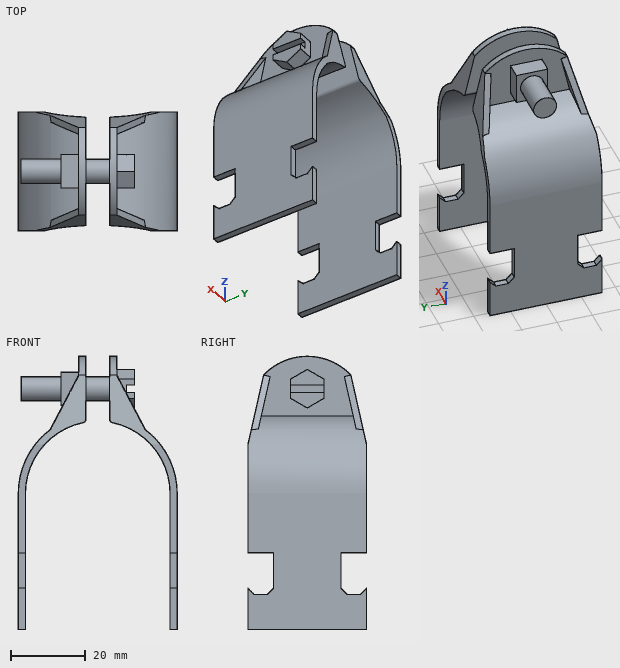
import cadquery as cq
import math


overall_height = 73.0
overall_width = 42.5
strap_width = 31.8
sheet = 2.0
ear_gap = 6.3
leg_height = 36.4
inner_bend_radius = 1.0

half_width = strap_width / 2
outer_radius = overall_width / 2
inner_radius = outer_radius - sheet
ear_inner_x = ear_gap / 2
ear_outer_x = ear_inner_x + sheet
ear_root_z = leg_height + math.sqrt(outer_radius**2 - ear_outer_x**2)
ear_inner_root_z = leg_height + math.sqrt(inner_radius**2 - ear_inner_x**2)

shoulder_z = 49.35
crown_z = 68.0
crown_half_width = 11.7
taper_angle = math.atan2(half_width - crown_half_width, crown_z - shoulder_z)

notch_top_z = 20.5
notch_bottom_z = 9.4
notch_depth = 6.9
notch_chamfer = 1.7

gusset_thickness = 1.8
gusset_foot_x = 12.8

bolt_z = 64.3
bolt_diameter = 6.5
bolt_tip_x = -20.45
across_flats = 8.9
nut_thickness = 4.75
head_thickness = 4.75
slot_width = 1.9
slot_depth = 2.1


def on_bend(radius, distance):
    """Point (x, z) on the left of the pipe bend, at this distance from the clamp middle."""
    return (-distance, leg_height + math.sqrt(radius**2 - distance**2))


def bent_sheet():
    """Left leg, pipe bend and ear as one constant section across the full width."""
    diagonal = math.sqrt(0.5)
    section = (
        cq.Workplane("XZ")
        .moveTo(-outer_radius, 0)
        .lineTo(-outer_radius, leg_height)
        .threePointArc(on_bend(outer_radius, outer_radius * diagonal), (-ear_outer_x, ear_root_z))
        .lineTo(-ear_outer_x, overall_height)
        .lineTo(-ear_inner_x, overall_height)
        .lineTo(-ear_inner_x, ear_inner_root_z)
        .threePointArc(on_bend(inner_radius, inner_radius * diagonal), (-inner_radius, leg_height))
        .lineTo(-inner_radius, 0)
        .close()
        .extrude(half_width, both=True)
    )
    bend_edge = cq.selectors.NearestToPointSelector((-ear_inner_x, 0, ear_inner_root_z))
    return section.edges(bend_edge).fillet(inner_bend_radius)


def strap_outline():
    """Tapered blank with a rounded top, spanning the left half of the clamp."""
    return (
        cq.Workplane("YZ")
        .moveTo(-half_width, 0)
        .lineTo(-half_width, shoulder_z)
        .lineTo(-crown_half_width, crown_z)
        .threePointArc((0, overall_height), (crown_half_width, crown_z))
        .lineTo(half_width, shoulder_z)
        .lineTo(half_width, 0)
        .close()
        .extrude(-outer_radius)
    )


def notch():
    """Cutter for the +Y side notch, with both lower corners chamfered."""
    inner_y = half_width - notch_depth
    chamfer_z = notch_bottom_z + notch_chamfer
    return (
        cq.Workplane("YZ")
        .polyline([
            (half_width, notch_top_z),
            (inner_y, notch_top_z),
            (inner_y, chamfer_z),
            (inner_y + notch_chamfer, notch_bottom_z),
            (half_width - notch_chamfer, notch_bottom_z),
            (half_width, chamfer_z),
        ])
        .close()
        .extrude(-outer_radius)
    )


def gusset():
    """Triangular rib, flush with the tapered +Y side, between ear and bend."""
    side_face = cq.Plane(
        origin=(0, crown_half_width, crown_z),
        xDir=(1, 0, 0),
        normal=(0, math.cos(taper_angle), math.sin(taper_angle)),
    )
    foot_z = on_bend(outer_radius, gusset_foot_x)[1]
    foot_distance = (crown_z - foot_z) / math.cos(taper_angle)
    root_distance = (crown_z - ear_root_z) / math.cos(taper_angle)
    return (
        cq.Workplane(side_face)
        .polyline([
            (-ear_outer_x, 0),
            (-gusset_foot_x, foot_distance),
            (-ear_outer_x, root_distance),
        ])
        .close()
        .extrude(-gusset_thickness)
    )


def bolt_shank(start_x, end_x):
    """Round bar on the bolt axis, also used to cut the holes it passes through."""
    return (
        cq.Workplane("YZ", origin=(start_x, 0, bolt_z))
        .circle(bolt_diameter / 2)
        .extrude(end_x - start_x)
    )


def make_left_strap():
    strap = bent_sheet().intersect(strap_outline())
    strap = strap.cut(notch()).cut(notch().mirror("XZ"))
    rib = gusset().cut(strap)
    strap = strap.union(rib, clean=False).union(rib.mirror("XZ"), clean=False)
    return strap.cut(bolt_shank(-ear_outer_x, -ear_inner_x), clean=False)


def make_bolt():
    """Hex-head bolt with a vertex on top and a screwdriver slot along Y."""
    head = (
        cq.Workplane("YZ", origin=(ear_outer_x, 0, bolt_z))
        .polygon(6, across_flats, circumscribed=True)
        .extrude(head_thickness)
    )
    slot = (
        cq.Workplane("YZ", origin=(ear_outer_x + head_thickness, 0, bolt_z))
        .rect(2 * across_flats, slot_width)
        .extrude(-slot_depth)
    )
    return bolt_shank(bolt_tip_x, ear_outer_x).union(head).cut(slot)


def make_nut():
    """Square nut against the left ear."""
    nut_start_x = -ear_outer_x - nut_thickness
    block = (
        cq.Workplane("YZ", origin=(nut_start_x, 0, bolt_z))
        .rect(across_flats, across_flats)
        .extrude(nut_thickness)
    )
    return block.cut(bolt_shank(nut_start_x, -ear_outer_x))


left_strap = make_left_strap()
right_strap = left_strap.mirror("YZ")
bolt = make_bolt()
nut = make_nut()

result = cq.Compound.makeCompound([left_strap.val(), right_strap.val(), bolt.val(), nut.val()])